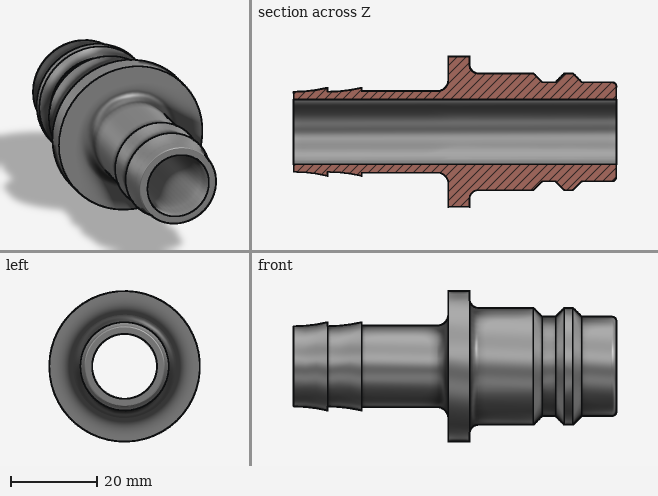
import cadquery as cq
import math


total_length = 75.0
bore_radius = 15.0 / 2
stem_radius = 19.0 / 2
flange_radius = 35.0 / 2
body_radius = 27.2 / 2
nose_radius = 23.15 / 2

barb_count = 2
barb_pitch = 7.95
barb_root_radius = 9.35
barb_tip_radius = 10.25
barb_land = 0.15
entry_round = 0.3

flange_start = 35.9
flange_width = 5.0
stem_fillet = 2.5
body_fillet = 2.0

nose_length = 8.1
collar_width = 2.0
groove_width = 3.15
nose_round = 1.15
slope_length = body_radius - nose_radius

flange_end = flange_start + flange_width
nose_start = total_length - nose_length
collar_end = nose_start - slope_length
collar_start = collar_end - collar_width
groove_end = collar_start - slope_length
groove_start = groove_end - groove_width
body_end = groove_start - slope_length

ARC_MID = math.sqrt(0.5)


def add_barb(profile, start, end):
    """Flare from the root, parallel to the axis at first, out to the tip land."""
    land_start = end - barb_land
    length = land_start - start
    rise = barb_tip_radius - barb_root_radius
    arc_radius = (length**2 + rise**2) / (2 * rise)
    middle_offset = length / 2
    middle_rise = arc_radius - math.sqrt(arc_radius**2 - middle_offset**2)
    return (
        profile.threePointArc(
            (start + middle_offset, barb_root_radius + middle_rise),
            (land_start, barb_tip_radius),
        )
        .lineTo(end, barb_tip_radius)
    )


def add_hose_tail(profile):
    """Rounded entry edge, the barbs and the plain stem up to the flange fillet."""
    profile = profile.lineTo(0, barb_root_radius - entry_round).threePointArc(
        (entry_round * (1 - ARC_MID), barb_root_radius - entry_round * (1 - ARC_MID)),
        (entry_round, barb_root_radius),
    )
    for index in range(barb_count):
        start = max(index * barb_pitch, entry_round)
        end = (index + 1) * barb_pitch
        is_last = index == barb_count - 1
        profile = add_barb(profile, start, end)
        profile = profile.lineTo(end, stem_radius if is_last else barb_root_radius)
    return profile.lineTo(flange_start - stem_fillet, stem_radius)


def add_flange(profile):
    """Flange with a concave quarter fillet at the foot of each face."""
    return (
        profile.threePointArc(
            (
                flange_start - stem_fillet * (1 - ARC_MID),
                stem_radius + stem_fillet * (1 - ARC_MID),
            ),
            (flange_start, stem_radius + stem_fillet),
        )
        .lineTo(flange_start, flange_radius)
        .lineTo(flange_end, flange_radius)
        .lineTo(flange_end, body_radius + body_fillet)
        .threePointArc(
            (
                flange_end + body_fillet * (1 - ARC_MID),
                body_radius + body_fillet * (1 - ARC_MID),
            ),
            (flange_end + body_fillet, body_radius),
        )
    )


def add_plug(profile):
    """Body, groove, locking collar and the nose with its rounded end."""
    return (
        profile.lineTo(body_end, body_radius)
        .lineTo(groove_start, nose_radius)
        .lineTo(groove_end, nose_radius)
        .lineTo(collar_start, body_radius)
        .lineTo(collar_end, body_radius)
        .lineTo(nose_start, nose_radius)
        .lineTo(total_length - nose_round, nose_radius)
        .threePointArc(
            (
                total_length - nose_round * (1 - ARC_MID),
                nose_radius - nose_round * (1 - ARC_MID),
            ),
            (total_length, nose_radius - nose_round),
        )
        .lineTo(total_length, bore_radius)
    )


half_section = cq.Workplane("XY").moveTo(0, bore_radius)
half_section = add_hose_tail(half_section)
half_section = add_flange(half_section)
half_section = add_plug(half_section).close()

result = half_section.revolve(360, (0, 0, 0), (1, 0, 0))